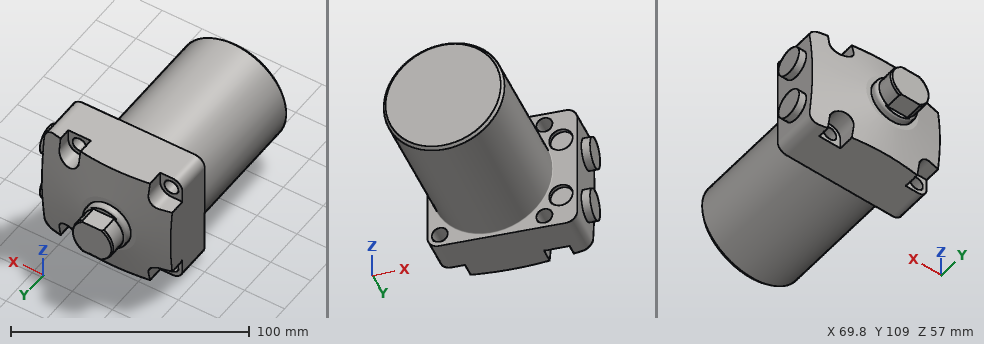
import cadquery as cq
import math


overall_length = 109.0
overall_width = 69.8

block_half_height = 28.5
block_left = -block_half_height
block_right = 37.5
block_corner_radius = 5.0
crown_height = 30.0
crown_flat_radius = 13.85
crown_slope = math.radians(15)

barrel_radius = 26.6
barrel_length = 66.5
barrel_chamfer = 1.25
barrel_root_fillet = 0.4

hole_offset = 23.0
hole_diameter = 7.0
pocket_radius = 5.6
pocket_floor = 17.0

recess_x = 30.3
recess_z = 14.0
recess_diameter = 10.3
recess_depth = 2.0

rod_radius = 10.0
rod_tip = overall_length - barrel_length
rod_tip_chamfer_length = 1.0
rod_tip_chamfer_depth = 0.35
rod_flat_half_width = 8.5
rod_flat_bottom = 33.5
shoulder_radius = 11.25
shoulder_top = 34.0
shoulder_fillet = 2.0

plug_diameter = 14.0
plug_end = block_left + overall_width
plug_y = 12.5
plug_z = 13.0


def plane_at(y):
    """Sketch plane facing +Y at height y, with local x along X and local y along -Z."""
    return cq.Workplane(cq.Plane(origin=(0, y, 0), xDir=(1, 0, 0), normal=(0, 1, 0)))


def crowned_block():
    """Rounded block whose top is cut to a shallow cone around a flat centre."""
    block = (
        plane_at(0)
        .center((block_left + block_right) / 2, 0)
        .rect(block_right - block_left, 2 * block_half_height)
        .extrude(crown_height)
        .edges("|Y")
        .fillet(block_corner_radius)
    )
    crown_outer_radius = math.hypot(block_right, block_half_height)
    crown_rim = crown_height - (crown_outer_radius - crown_flat_radius) * math.tan(crown_slope)
    crown_envelope = (
        cq.Workplane("XY")
        .moveTo(0, 0)
        .lineTo(crown_outer_radius, 0)
        .lineTo(crown_outer_radius, crown_rim)
        .lineTo(crown_flat_radius, crown_height)
        .lineTo(0, crown_height)
        .close()
        .revolve(360, (0, 0, 0), (0, 1, 0))
    )
    return block.intersect(crown_envelope)


def barrel():
    """Barrel with a chamfered end and a small root fillet where it meets the flange face."""
    root = barrel_root_fillet
    root_mid = root * (1 - math.sqrt(0.5))
    return (
        cq.Workplane("XY")
        .moveTo(0, 0)
        .lineTo(barrel_radius + root, 0)
        .threePointArc((barrel_radius + root_mid, -root_mid), (barrel_radius, -root))
        .lineTo(barrel_radius, barrel_chamfer - barrel_length)
        .lineTo(barrel_radius - barrel_chamfer, -barrel_length)
        .lineTo(0, -barrel_length)
        .close()
        .revolve(360, (0, 0, 0), (0, 1, 0))
    )


def screw_pocket(side_x, side_z):
    """Round-ended pocket open to the nearer Z side; the ones by the -X side are open there too."""
    pocket_height = crown_height - pocket_floor
    reach = block_half_height
    start = plane_at(pocket_floor).center(side_x * hole_offset, -side_z * hole_offset)
    pocket = start.circle(pocket_radius).extrude(pocket_height)
    pocket = pocket.union(
        start.center(0, -side_z * reach / 2).rect(2 * pocket_radius, reach).extrude(pocket_height)
    )
    if side_x < 0:
        open_side = plane_at(pocket_floor).center(
            -hole_offset - reach / 2, -side_z * (hole_offset - pocket_radius + reach / 2)
        )
        pocket = pocket.union(open_side.rect(reach, reach).extrude(pocket_height))
    return pocket


def make_housing():
    """Block and barrel in one piece, with screw holes, head pockets and port recesses."""
    body = crowned_block().union(barrel())
    for side_z in (-1, 1):
        for side_x in (-1, 1):
            body = body.cut(screw_pocket(side_x, side_z))
            hole = plane_at(0).center(side_x * hole_offset, -side_z * hole_offset)
            body = body.cut(hole.circle(hole_diameter / 2).extrude(crown_height))
        recess = plane_at(0).center(recess_x, side_z * recess_z)
        body = body.cut(recess.circle(recess_diameter / 2).extrude(recess_depth))
    return body


def make_rod():
    """Rod end standing on the crown flat: rounded shoulder, chamfered tip and two wrench flats."""
    shoulder = (
        plane_at(crown_height)
        .circle(shoulder_radius)
        .extrude(shoulder_top - crown_height)
        .faces(">Y")
        .edges()
        .fillet(shoulder_fillet)
    )
    shank = (
        cq.Workplane("XY")
        .moveTo(0, crown_height)
        .lineTo(rod_radius, crown_height)
        .lineTo(rod_radius, rod_tip - rod_tip_chamfer_length)
        .lineTo(rod_radius - rod_tip_chamfer_depth, rod_tip)
        .lineTo(0, rod_tip)
        .close()
        .revolve(360, (0, 0, 0), (0, 1, 0))
    )
    rod = shoulder.union(shank)
    for side_z in (-1, 1):
        flat_cutter = (
            plane_at(rod_flat_bottom)
            .center(0, side_z * (rod_flat_half_width + rod_radius))
            .rect(4 * rod_radius, 2 * rod_radius)
            .extrude(rod_tip - rod_flat_bottom)
        )
        rod = rod.cut(flat_cutter)
    return rod


def make_plug(side_z):
    """Round plug seated on the +X face of the block."""
    return (
        cq.Workplane("YZ", origin=(block_right, plug_y, side_z * plug_z))
        .circle(plug_diameter / 2)
        .extrude(plug_end - block_right)
    )


housing = make_housing()
rod = make_rod()
plugs = [make_plug(side_z) for side_z in (-1, 1)]

result = cq.Compound.makeCompound([housing.val(), rod.val(), *[plug.val() for plug in plugs]])